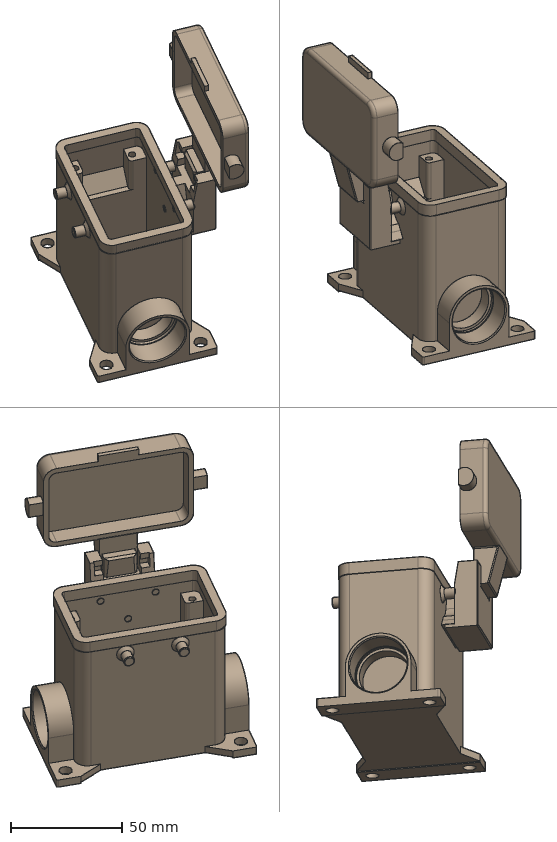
import cadquery as cq


SIDES = (-1, 1)

rim_length = 71.3
rim_width = 44.0
rim_bottom = 67.5
rim_top = 73.0
rim_radius = 6.1
body_length = 70.2
body_width = 43.7
body_bottom = 0.5
cavity_length = 63.2
cavity_width = 35.8
cavity_floor = 4.0
cavity_radius = 1.6
undercut = 1.2
lower_cavity_radius = cavity_radius + undercut

foot_length = 93.5
foot_width = 57.0
foot_top = 4.0
foot_straight_x = 35.5
foot_slant_x = 24.4
foot_corner_radius = 0.8
foot_hole_x = 41.0
foot_hole_y = 22.4
foot_hole_diameter = 5.8

entry_radius = 15.1
entry_axis_z = 18.0
bore_radius = 13.2
bore_chamfer = 0.5
bore_end_x = 35.4
seat_radius = 12.9
seat_end_x = 33.9
recess_radius = 11.5
recess_end_x = 27.0

post_inner_x = 24.4
post_inner_y = 10.9
post_top = 60.5
post_corner_radius = 1.6
wall_lap = 0.7
post_hole_x = 28.4
post_hole_y = 13.5
post_hole_diameter = 3.2
post_hole_depth = 15.9
ramp_low_z = 42.4
ramp_high_z = 49.8

peg_x = 12.9
peg_z = 63.3
peg_radius = 2.5
peg_end_y = 28.5
peg_chamfer = 0.4
collar_radius = 4.1
collar_length = 1.5
wall_hole_diameter = 3.2
wall_hole_depth = 0.4
lower_hole_z = 51.0

bracket_width = 29.8
bracket_back = 38.8
bracket_top_front = 29.7
bracket_front = 28.0
bracket_shoulder_z = 66.9
bracket_top = 77.5
bracket_bottom = 46.0
lip_front = 23.6
lip_top = 47.7
bracket_chamfer = 0.5
cheek_skin = 2.0
cheek_pocket_depth = 2.6
cheek_setback = 0.8
cheek_pocket_bottom = 70.9
cheek_pocket_top = 74.6
pad_rib_half = 2.8
pad_waist_half = 5.3
pad_waist_z = 59.0
pad_flare_half = 10.3
pad_flare_z = 53.4
pad_flare_radius = 8.0
pad_ankle_half = 12.2
pad_ankle_z = 50.9
pad_foot_half = 14.6

lid_length = 70.1
lid_bottom = 86.0
lid_top = 129.5
lid_front = 35.0
lid_back = 47.7
lid_radius = 6.1
lid_back_fillet = 2.0
lid_wall = 2.5
lid_pocket_depth = 8.3
tab_width = 18.8
tab_thickness = 2.0
tab_top = 132.5
pivot_span = 83.2
pivot_radius = 4.4
pivot_y = 38.4
pivot_z = 107.6
pivot_flat_y = 35.8

arm_width = 17.8
arm_front = 35.5
arm_end_back = 42.4
arm_top_back_z = 88.8
arm_edge_chamfer = 0.5
arm_bottom = 68.4
arm_flare = 0.5
knuckle_width = 15.4
knuckle_tip_width = 11.7
knuckle_top = 77.1
knuckle_top_front = 32.0
knuckle_nose_front = 30.7
knuckle_nose_z = 76.3
knuckle_foot_front = 31.3

lid_height = lid_top - lid_bottom
lid_centre_z = (lid_top + lid_bottom) / 2
lower_half_x = cavity_length / 2 + undercut
lower_half_y = cavity_width / 2 + undercut
body_half_y = body_width / 2


def box(x0, x1, y0, y1, z0, z1):
    """Box between two corners, given in any order along each axis."""
    size = (abs(x1 - x0), abs(y1 - y0), abs(z1 - z0))
    middle = ((x0 + x1) / 2, (y0 + y1) / 2, (z0 + z1) / 2)
    return cq.Workplane("XY").box(*size).translate(middle)


def upright_block(length, width, radius, z0, z1):
    """Rectangular block about the Z axis with rounded vertical edges."""
    block = box(-length / 2, length / 2, -width / 2, width / 2, z0, z1)
    return block.edges("|Z").fillet(radius)


def cylinder_x(radius, x0, x1, y, z):
    """Cylinder along X from x0 to x1."""
    return cq.Workplane("YZ", origin=(x0, y, z)).circle(radius).extrude(x1 - x0)


def side_profile(points, width):
    """Extrude (y, z) points symmetrically along X."""
    return cq.Workplane("YZ").polyline(points).close().extrude(width / 2, both=True)


def make_cavity():
    """Cavity that is undercut below the rim."""
    mouth = upright_block(cavity_length, cavity_width, cavity_radius, rim_bottom, rim_top)
    lower_length = cavity_length + 2 * undercut
    lower_width = cavity_width + 2 * undercut
    lower = upright_block(lower_length, lower_width, lower_cavity_radius, cavity_floor, rim_bottom)
    return lower.union(mouth)


def make_foot(side):
    """Flat mounting foot that tapers into the long walls, with two screw holes."""
    end_x = side * foot_length / 2
    half_y = foot_width / 2
    outline = [
        (end_x, -half_y),
        (side * foot_straight_x, -half_y),
        (side * foot_slant_x, -body_half_y),
        (side * foot_slant_x, body_half_y),
        (side * foot_straight_x, half_y),
        (end_x, half_y),
    ]
    foot = cq.Workplane("XY", origin=(0, 0, body_bottom)).polyline(outline).close()
    foot = foot.extrude(foot_top - body_bottom)
    foot = foot.union(box(side * foot_straight_x, end_x, -half_y, half_y, 0, foot_top))
    end_face = ">X" if side > 0 else "<X"
    foot = foot.faces(end_face).edges("|Z").fillet(foot_corner_radius)
    holes = cq.Workplane("XY").pushPoints([(side * foot_hole_x, y * foot_hole_y) for y in SIDES])
    return foot.cut(holes.circle(foot_hole_diameter / 2).extrude(foot_top))


def make_entry(side):
    """Round cable entry standing on its foot."""
    end_x = side * foot_length / 2
    collar = cylinder_x(entry_radius, 0, end_x, 0, entry_axis_z)
    return collar.union(box(0, end_x, -entry_radius, entry_radius, body_bottom, entry_axis_z))


def make_entry_bore(side):
    """Stepped blind bore with a chamfered mouth."""
    end_x = side * foot_length / 2
    bore = cylinder_x(bore_radius, side * bore_end_x, end_x, 0, entry_axis_z)
    seat = cylinder_x(seat_radius, side * seat_end_x, end_x, 0, entry_axis_z)
    recess = cylinder_x(recess_radius, side * recess_end_x, end_x, 0, entry_axis_z)
    mouth = cq.Workplane("YZ", origin=(end_x, 0, entry_axis_z)).circle(bore_radius + bore_chamfer)
    mouth = mouth.workplane(offset=-side * bore_chamfer).circle(bore_radius).loft()
    return bore.union(seat).union(recess).union(mouth)


def make_post(side_x, side_y):
    """Corner post inside the cavity with a blind screw hole."""
    wall_x = (lower_half_x + wall_lap) * side_x
    wall_y = (lower_half_y + wall_lap) * side_y
    post = box(side_x * post_inner_x, wall_x, side_y * post_inner_y, wall_y, body_bottom, post_top)
    inner_edge = cq.selectors.NearestToPointSelector(
        (side_x * post_inner_x, side_y * post_inner_y, (body_bottom + post_top) / 2)
    )
    post = post.edges(inner_edge).fillet(post_corner_radius)
    hole = cq.Workplane("XY", origin=(side_x * post_hole_x, side_y * post_hole_y, post_top))
    return post.cut(hole.circle(post_hole_diameter / 2).extrude(-post_hole_depth))


def make_entry_block(side):
    """Block between two posts that closes off the entry, with a ramp up to the end wall."""
    outline = [
        (side * post_inner_x, body_bottom),
        (side * post_inner_x, ramp_low_z),
        (side * recess_end_x, ramp_low_z),
        (side * lower_half_x, ramp_high_z),
        (side * lower_half_x, body_bottom),
    ]
    half_length = post_inner_y + post_corner_radius
    return cq.Workplane("XZ").polyline(outline).close().extrude(half_length, both=True)


def make_peg(side_x, side_y):
    """Locking peg on a long wall, with a conical collar and a chamfered tip."""
    profile = [
        (0, body_half_y),
        (collar_radius, body_half_y),
        (peg_radius, body_half_y + collar_length),
        (peg_radius, peg_end_y - peg_chamfer),
        (peg_radius - peg_chamfer, peg_end_y),
        (0, peg_end_y),
    ]
    peg = cq.Workplane("XY").polyline(profile).close().revolve(360, (0, 0, 0), (0, 1, 0))
    turn = 0 if side_y > 0 else 180
    return peg.rotate((0, 0, 0), (0, 0, 1), turn).translate((side_x * peg_x, 0, peg_z))


def make_bracket_pad():
    """Pad on the rear wall: a narrow rib that flares into a wide foot."""
    pad = (
        cq.Workplane("XZ", origin=(0, bracket_front, 0))
        .moveTo(0, lip_top)
        .lineTo(0, bracket_shoulder_z)
        .lineTo(pad_rib_half, bracket_shoulder_z)
        .lineTo(pad_waist_half, pad_waist_z)
        .radiusArc((pad_flare_half, pad_flare_z), -pad_flare_radius)
        .lineTo(pad_ankle_half, pad_ankle_z)
        .lineTo(pad_foot_half, lip_top)
        .close()
        .extrude(bracket_front - body_half_y)
    )
    return pad.union(pad.mirror("YZ"))


def make_bracket():
    """Hinge bracket with an open socket for the lid arm and a pocket in each cheek."""
    outline = [
        (bracket_back, bracket_bottom),
        (bracket_back, bracket_top),
        (bracket_top_front, bracket_top),
        (bracket_front, bracket_shoulder_z),
        (bracket_front, lip_top),
        (lip_front, lip_top),
        (lip_front, bracket_bottom),
    ]
    bracket = side_profile(outline, bracket_width)
    bracket = bracket.faces(">Y").edges().chamfer(bracket_chamfer)
    pocket_half = bracket_width / 2 - cheek_skin
    pocket_back = bracket_top_front + cheek_pocket_depth
    arm_half = arm_width / 2
    socket = box(-arm_half, arm_half, lip_front, bracket_back, bracket_shoulder_z, bracket_top)
    pockets = box(
        -pocket_half, pocket_half, lip_front, pocket_back, cheek_pocket_bottom, cheek_pocket_top
    )
    setback = box(
        -pocket_half,
        pocket_half,
        lip_front,
        bracket_top_front + cheek_setback,
        cheek_pocket_bottom,
        bracket_top,
    )
    return bracket.cut(socket).cut(pockets).cut(setback)


def make_housing():
    housing = upright_block(body_length, body_width, rim_radius, body_bottom, rim_bottom)
    housing = housing.union(upright_block(rim_length, rim_width, rim_radius, rim_bottom, rim_top))
    for side in SIDES:
        housing = housing.union(make_foot(side)).union(make_entry(side))
    housing = housing.cut(make_cavity())

    for side_x in SIDES:
        housing = housing.union(make_entry_block(side_x))
        for side_y in SIDES:
            housing = housing.union(make_post(side_x, side_y))
            housing = housing.union(make_peg(side_x, side_y))
        housing = housing.cut(make_entry_bore(side_x))

    housing = housing.union(make_bracket_pad()).union(make_bracket())
    wall_holes = cq.Workplane("XZ", origin=(0, lower_half_y, 0))
    wall_holes = wall_holes.pushPoints([(-peg_x, peg_z), (peg_x, peg_z), (0, lower_hole_z)])
    return housing.cut(wall_holes.circle(wall_hole_diameter / 2).extrude(-wall_hole_depth))


def make_lid_shell():
    """Shallow rounded tray that opens toward -Y."""
    lid = cq.Workplane("XZ", origin=(0, lid_back, lid_centre_z)).rect(lid_length, lid_height)
    lid = lid.extrude(lid_back - lid_front).edges("|Y").fillet(lid_radius)
    return lid.faces(">Y").edges().fillet(lid_back_fillet)


def make_lid_pocket():
    pocket = cq.Workplane("XZ", origin=(0, lid_front, lid_centre_z))
    pocket = pocket.rect(lid_length - 2 * lid_wall, lid_height - 2 * lid_wall)
    return pocket.extrude(-lid_pocket_depth).edges("|Y").fillet(lid_radius - lid_wall)


def make_lid_arm():
    """Tapered arm with chamfered back edges and a small flare where it joins the lid."""
    outline = [
        (arm_front, lid_bottom + lid_wall),
        (lid_back - lid_back_fillet, lid_bottom + lid_wall),
        (lid_back, arm_top_back_z),
        (arm_end_back, arm_bottom),
        (arm_front, arm_bottom),
    ]
    arm = side_profile(outline, arm_width)
    slanted_face = cq.selectors.NearestToPointSelector(
        (0, (lid_back + arm_end_back) / 2, (arm_top_back_z + arm_bottom) / 2)
    )
    arm = arm.faces(slanted_face).edges().edges("not >Z").chamfer(arm_edge_chamfer)
    half = arm_width / 2
    flare = cq.Workplane("XZ", origin=(0, lid_back - lid_back_fillet, 0)).polyline([
        (-half, lid_bottom - arm_flare),
        (half, lid_bottom - arm_flare),
        (half + arm_flare, lid_bottom),
        (-half - arm_flare, lid_bottom),
    ])
    flare = flare.close().extrude(lid_back - lid_back_fillet - arm_front)
    return arm.union(flare)


def make_knuckle():
    """Knuckle reaching forward from the arm to the bracket floor, narrower at its nose."""
    outline = [
        (arm_front, bracket_shoulder_z),
        (arm_front, knuckle_top),
        (knuckle_top_front, knuckle_top),
        (knuckle_nose_front, knuckle_nose_z),
        (knuckle_foot_front, bracket_shoulder_z),
    ]
    half = knuckle_width / 2
    tip_half = knuckle_tip_width / 2
    plan = cq.Workplane("XY", origin=(0, 0, bracket_shoulder_z)).polyline([
        (-half, arm_front),
        (-half, knuckle_top_front),
        (-tip_half, knuckle_nose_front),
        (tip_half, knuckle_nose_front),
        (half, knuckle_top_front),
        (half, arm_front),
    ])
    plan = plan.close().extrude(knuckle_top - bracket_shoulder_z)
    return side_profile(outline, knuckle_width).intersect(plan)


def make_lid():
    pivots = cylinder_x(pivot_radius, -pivot_span / 2, pivot_span / 2, pivot_y, pivot_z)
    pivots = pivots.intersect(
        box(-pivot_span, pivot_span, pivot_flat_y, lid_back, lid_bottom, lid_top)
    )
    tab = box(
        -tab_width / 2, tab_width / 2, lid_front, lid_front + tab_thickness, lid_top - lid_wall, tab_top
    )
    lid = make_lid_shell().union(make_lid_arm()).union(make_knuckle()).union(pivots).union(tab)
    return lid.cut(make_lid_pocket())


housing = make_housing()
lid = make_lid()
result = cq.Compound.makeCompound([housing.val(), lid.val()])